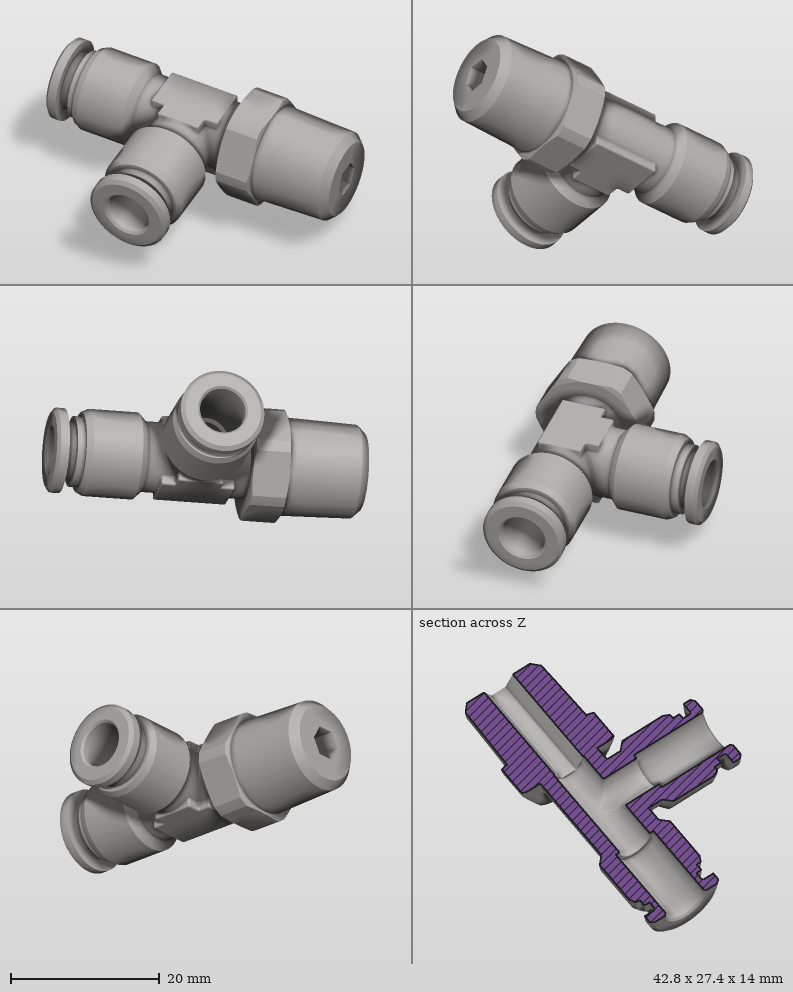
import cadquery as cq
import math

PORT_REACH = 19.77
THREAD_REACH = 23.03

BARREL_RADIUS = 9.55 / 2
CROTCH_RADIUS = 0.2

SLEEVE_RADIUS = 11.75 / 2
SLEEVE_LIP_RADIUS = 5.45
NECK_RADIUS = 3.95
NECK_ROOT_RADIUS = 4.1
FLANGE_RADIUS = 5.75
FLANGE_FACE_RADIUS = 5.2
SLEEVE_CONE_START = 6.98
SLEEVE_START = 8.1
SLEEVE_END = 14.85
COLLAR_START = 15.75
COLLAR_END = 16.8
NECK_END = 17.9
FLANGE_START = 18.15
FLANGE_CHAMFER_LENGTH = 0.43

TUBE_RADIUS = 3.12
TUBE_MOUTH_RADIUS = 3.42
TUBE_STOP = SLEEVE_START
BORE_RADIUS = 5.0 / 2
SOCKET_ACROSS_FLATS = 4.1

HEX_START = 6.95
HEX_END = 12.0
HEX_ACROSS_FLATS = 14.0
HEX_CORNER_RADIUS = 7.65
HEX_CHAMFER_LENGTH = 0.2

THREAD_ROOT_RADIUS = 6.65
THREAD_TAPER = 1 / 32
THREAD_CHAMFER_LENGTH = 1.1
THREAD_TIP_RADIUS = 5.25

PAD_HALF_WIDTH = 3.1
PAD_ARM = 5.0
PAD_HEIGHT = 4.95
PAD_ROUND = 0.25

TOUCH_TOLERANCE = 0.0005


def turned(profile):
    """Solid of revolution about X from (distance, radius) points, closed on the axis."""
    start, end = profile[0][0], profile[-1][0]
    points = [(start, 0)] + profile + [(end, 0)]
    return cq.Workplane("XY").polyline(points).close().revolve(360, (0, 0, 0), (1, 0, 0))


def to_run(shape):
    """Turn a shape built along +X to face -X."""
    return shape.rotate((0, 0, 0), (0, 0, 1), 180)


def to_branch(shape):
    """Turn a shape built along +X to face -Y."""
    return shape.rotate((0, 0, 0), (0, 0, 1), -90)


def hex_prism(across_flats, start, end):
    """Hexagonal prism along X with flats facing +Z and -Z."""
    across_corners = across_flats / math.cos(math.pi / 6)
    return cq.Workplane("YZ", origin=(start, 0, 0)).polygon(6, across_corners).extrude(end - start)


def blended_union(first, second, radius):
    """Join two solids and round the edges where their surfaces meet."""
    joined = first.union(second)

    def on_both(edge):
        middle = cq.Vertex.makeVertex(*edge.positionAt(0.5).toTuple())
        return all(solid.val().distance(middle) < TOUCH_TOLERANCE for solid in (first, second))

    seam = [edge for edge in joined.edges().vals() if on_both(edge)]
    return joined.newObject(seam).fillet(radius)


def label_pads():
    """One T-shaped block whose two ends stand proud of the barrels above and below."""
    outline = [
        (-PAD_ARM, PAD_HALF_WIDTH),
        (PAD_ARM, PAD_HALF_WIDTH),
        (PAD_ARM, -PAD_HALF_WIDTH),
        (PAD_HALF_WIDTH, -PAD_HALF_WIDTH),
        (PAD_HALF_WIDTH, -PAD_ARM),
        (-PAD_HALF_WIDTH, -PAD_ARM),
        (-PAD_HALF_WIDTH, -PAD_HALF_WIDTH),
        (-PAD_ARM, -PAD_HALF_WIDTH),
    ]
    block = cq.Workplane("XY").polyline(outline).close().extrude(PAD_HEIGHT, both=True)
    return block.edges("|Z").fillet(PAD_ROUND).faces("|Z").edges().fillet(PAD_ROUND)


def tee_body():
    """Run and branch barrels with the label pads, rounded where they meet."""
    run_length = SLEEVE_CONE_START + HEX_START
    run = cq.Workplane("YZ", origin=(-SLEEVE_CONE_START, 0, 0)).circle(BARREL_RADIUS).extrude(run_length)
    branch = cq.Workplane("XZ").circle(BARREL_RADIUS).extrude(SLEEVE_CONE_START)
    tee = blended_union(run, branch, CROTCH_RADIUS)
    return blended_union(tee, label_pads(), PAD_ROUND)


def port():
    """Sleeve, collar, neck and release flange of one push-in port."""
    return turned([
        (SLEEVE_CONE_START, BARREL_RADIUS),
        (SLEEVE_START, SLEEVE_RADIUS),
        (SLEEVE_END, SLEEVE_RADIUS),
        (COLLAR_START, SLEEVE_LIP_RADIUS),
        (COLLAR_START, BARREL_RADIUS),
        (COLLAR_END, BARREL_RADIUS),
        (COLLAR_END, NECK_RADIUS),
        (NECK_END, NECK_RADIUS),
        (FLANGE_START, NECK_ROOT_RADIUS),
        (FLANGE_START, FLANGE_RADIUS),
        (PORT_REACH - FLANGE_CHAMFER_LENGTH, FLANGE_RADIUS),
        (PORT_REACH, FLANGE_FACE_RADIUS),
    ])


def port_bore():
    """Bore from the origin, widening to the tube seat and its 45 degree mouth."""
    mouth_depth = TUBE_MOUTH_RADIUS - TUBE_RADIUS
    return turned([
        (0, BORE_RADIUS),
        (TUBE_STOP, BORE_RADIUS),
        (TUBE_STOP, TUBE_RADIUS),
        (PORT_REACH - mouth_depth, TUBE_RADIUS),
        (PORT_REACH, TUBE_MOUTH_RADIUS),
    ])


def hexagon():
    """Hexagon with turned corners and a chamfer on both faces."""
    face_radius = HEX_ACROSS_FLATS / 2
    envelope = turned([
        (HEX_START, face_radius),
        (HEX_START + HEX_CHAMFER_LENGTH, HEX_CORNER_RADIUS),
        (HEX_END - HEX_CHAMFER_LENGTH, HEX_CORNER_RADIUS),
        (HEX_END, face_radius),
    ])
    return hex_prism(HEX_ACROSS_FLATS, HEX_START, HEX_END).intersect(envelope)


def thread_blank():
    """Tapered plug, left smooth, with a chamfered tip."""
    chamfer_start = THREAD_REACH - THREAD_CHAMFER_LENGTH
    chamfer_radius = THREAD_ROOT_RADIUS - THREAD_TAPER * (chamfer_start - HEX_END)
    return turned([
        (HEX_END, THREAD_ROOT_RADIUS),
        (chamfer_start, chamfer_radius),
        (THREAD_REACH, THREAD_TIP_RADIUS),
    ])


outside = (
    tee_body()
    .union(to_run(port()))
    .union(to_branch(port()))
    .union(hexagon())
    .union(thread_blank())
)

run_bore = turned([(0, BORE_RADIUS), (HEX_START, BORE_RADIUS)])
socket = hex_prism(SOCKET_ACROSS_FLATS, HEX_START, THREAD_REACH)

result = (
    outside
    .cut(run_bore)
    .cut(to_run(port_bore()))
    .cut(to_branch(port_bore()))
    .cut(socket)
)